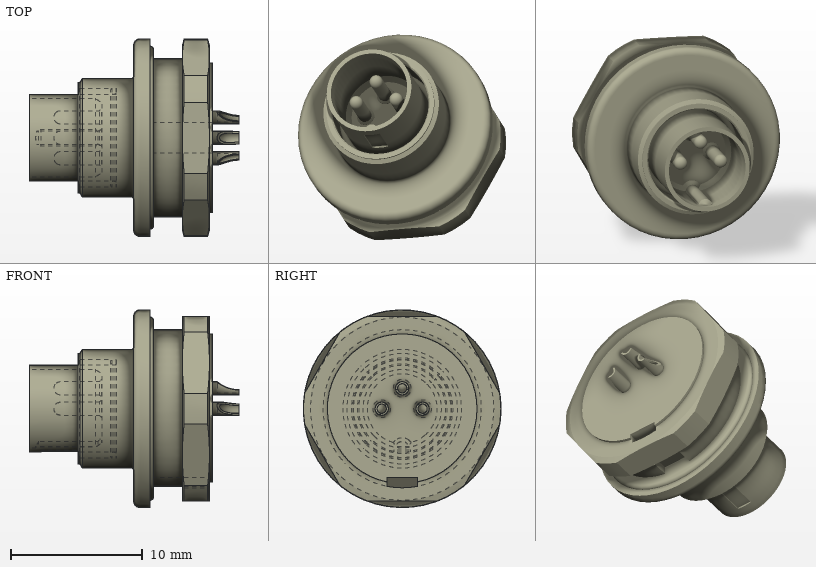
import cadquery as cq
import math


body_front = 3.7
flange_front = 7.9
flange_back = 9.15
seal_back = 9.42
nut_front = 11.6
nut_back = 13.65
hub_back = 13.88
overall_length = 15.9

sleeve_diameter = 6.6
body_diameter = 9.0
flange_diameter = 15.0
seal_diameter = 13.9
thread_diameter = 12.0
hub_diameter = 11.35

body_nose_diameter = 8.39
body_nose_length = 0.13
body_chamfer_angle = 30.0
body_root_fillet = 0.18
flange_fillet = 0.5
seal_round = 0.27

gap_diameter = 7.5
gap_chamfer = 0.1
gap_bottom = 6.6
ring_section_radius = 0.25
ring_center_x = 6.4

bore_diameter = 5.95
bore_floor_diameter = 5.3
taper_start = 5.0
floor_x = 5.5

contact_pitch_radius = 1.55
contact_diameter = 1.0
contact_tip_x = 1.85
collar_diameter = 1.35
collar_length = 0.2
collar_chamfer = 0.17

cup_bore_diameter = 0.7
cup_bore_depth = 1.65
cup_scoop_radius = 2.6
cup_lip_height = -0.11
side_cup_tilt = 60.0

key_root_z = -(bore_diameter + sleeve_diameter) / 4
key_base_front = 0.46
key_base_half_width = 0.62
key_base_z = -2.88
key_base_corner_radius = 0.4
key_ridge_radius = 0.53
key_ridge_axis_z = -3.03
key_ridge_tip_radius = 0.15
key_ridge_shoulder_x = 0.7
key_collar_length = 0.3
key_collar_half_width = 0.73
key_collar_crest_z = -2.2
key_collar_shoulder_z = -2.68
key_collar_chamfer = 0.28

key_flat_start = 0.87
key_flat_z = -3.15

keyway_width = 2.3
keyway_floor_z = -5.2

nut_across_flats = 14.0
nut_corner_diameter = 15.0
nut_chamfer_angle = 15.0
nut_turn = 30.0


def cylinder(diameter, start, end):
    return cq.Workplane("YZ", origin=(start, 0, 0)).circle(diameter / 2).extrude(end - start)


def revolve_about_axis(profile):
    return profile.close().revolve(360, (0, 0, 0), (1, 0, 0))


def make_shell():
    sleeve_radius = sleeve_diameter / 2
    body_radius = body_diameter / 2
    flange_radius = flange_diameter / 2
    seal_radius = seal_diameter / 2
    thread_radius = thread_diameter / 2
    body_nose_radius = body_nose_diameter / 2
    body_nose_end = body_front + body_nose_length
    chamfer_length = (body_radius - body_nose_radius) * math.tan(math.radians(body_chamfer_angle))
    profile = (
        cq.Workplane("XY")
        .lineTo(0, sleeve_radius)
        .lineTo(body_front, sleeve_radius)
        .lineTo(body_front, body_nose_radius)
        .lineTo(body_nose_end, body_nose_radius)
        .lineTo(body_nose_end + chamfer_length, body_radius)
        .lineTo(flange_front - body_root_fillet, body_radius)
        .radiusArc((flange_front, body_radius + body_root_fillet), -body_root_fillet)
        .lineTo(flange_front, flange_radius - flange_fillet)
        .radiusArc((flange_front + flange_fillet, flange_radius), flange_fillet)
        .lineTo(flange_back, flange_radius)
        .lineTo(flange_back, seal_radius)
        .radiusArc((seal_back, seal_radius - seal_round), seal_round)
        .lineTo(seal_back, thread_radius)
        .lineTo(nut_back, thread_radius)
        .lineTo(nut_back, hub_diameter / 2)
        .lineTo(hub_back, hub_diameter / 2)
        .lineTo(hub_back, 0)
    )
    return revolve_about_axis(profile)


def make_gap():
    sleeve_radius = sleeve_diameter / 2
    gap_radius = gap_diameter / 2
    profile = (
        cq.Workplane("XY")
        .moveTo(body_front, sleeve_radius)
        .lineTo(body_front, gap_radius + gap_chamfer)
        .lineTo(body_front + gap_chamfer, gap_radius)
        .lineTo(gap_bottom, gap_radius)
        .lineTo(gap_bottom, sleeve_radius)
    )
    ring = (
        cq.Workplane("XY")
        .moveTo(ring_center_x, sleeve_radius + ring_section_radius)
        .circle(ring_section_radius)
        .revolve(360, (0, 0, 0), (1, 0, 0))
    )
    return revolve_about_axis(profile).cut(ring)


def make_bore():
    profile = (
        cq.Workplane("XY")
        .lineTo(0, bore_diameter / 2)
        .lineTo(taper_start, bore_diameter / 2)
        .lineTo(floor_x, bore_floor_diameter / 2)
        .lineTo(floor_x, 0)
    )
    return revolve_about_axis(profile)


def make_nut():
    hexagon = (
        cq.Workplane("YZ", origin=(nut_front, 0, 0))
        .polygon(6, nut_across_flats, circumscribed=True)
        .extrude(nut_back - nut_front)
        .rotate((0, 0, 0), (1, 0, 0), nut_turn)
    )
    face_radius = nut_across_flats / 2
    corner_radius = nut_corner_diameter / 2
    chamfer_length = (corner_radius - face_radius) * math.tan(math.radians(nut_chamfer_angle))
    envelope = (
        cq.Workplane("XY")
        .moveTo(nut_front, 0)
        .lineTo(nut_front, face_radius)
        .lineTo(nut_front + chamfer_length, corner_radius)
        .lineTo(nut_back - chamfer_length, corner_radius)
        .lineTo(nut_back, face_radius)
        .lineTo(nut_back, 0)
    )
    bore = cylinder(thread_diameter, nut_front, nut_back)
    return hexagon.intersect(revolve_about_axis(envelope)).cut(bore)


def make_key():
    """Key with a flat base, a round ridge with a conical tip, and a wider collar at the insert face."""
    base = (
        cq.Workplane("XY", origin=(key_base_front, 0, key_root_z))
        .box(
            floor_x - key_base_front,
            2 * key_base_half_width,
            key_base_z - key_root_z,
            centered=(False, True, False),
        )
        .edges("|Z and <X")
        .fillet(key_base_corner_radius)
    )
    ridge = (
        cq.Workplane("XY")
        .moveTo(key_base_front, -key_ridge_tip_radius)
        .lineTo(key_ridge_shoulder_x, -key_ridge_radius)
        .lineTo(floor_x, -key_ridge_radius)
        .lineTo(floor_x, 0)
        .lineTo(key_base_front, 0)
        .close()
        .revolve(180, (0, 0, 0), (-1, 0, 0))
        .translate((0, 0, key_ridge_axis_z))
    )
    collar = (
        cq.Workplane("YZ", origin=(floor_x - key_collar_length, 0, 0))
        .moveTo(-key_base_half_width, key_root_z)
        .lineTo(-key_collar_half_width, key_collar_shoulder_z)
        .threePointArc((0, key_collar_crest_z), (key_collar_half_width, key_collar_shoulder_z))
        .lineTo(key_base_half_width, key_root_z)
        .close()
        .extrude(key_collar_length)
        .faces("<X")
        .edges(">Z")
        .chamfer(key_collar_chamfer)
    )
    return base.union(ridge).union(collar)


def make_key_flat():
    sleeve_radius = sleeve_diameter / 2
    return cq.Workplane("XY", origin=(key_flat_start, 0, -sleeve_radius)).box(
        body_front - key_flat_start,
        2 * key_base_half_width,
        key_flat_z + sleeve_radius,
        centered=(False, True, False),
    )


def make_keyway():
    thread_radius = thread_diameter / 2
    return cq.Workplane("XY", origin=(seal_back, 0, -thread_radius)).box(
        hub_back - seal_back,
        keyway_width,
        keyway_floor_z + thread_radius,
        centered=(False, True, False),
    )


def make_contact():
    """Contact on the X axis: rounded pin, collar on the insert face and a solder cup open to +Z."""
    radius = contact_diameter / 2
    dome = cq.Workplane("XY", origin=(contact_tip_x + radius, 0, 0)).sphere(radius)
    pin = cylinder(contact_diameter, contact_tip_x + radius, overall_length).union(dome)
    collar = (
        cylinder(collar_diameter, floor_x - collar_length, floor_x)
        .faces("<X")
        .chamfer(collar_chamfer)
    )
    cup_bore = cylinder(cup_bore_diameter, overall_length - cup_bore_depth, overall_length)
    scoop = (
        cq.Workplane("XZ", origin=(overall_length, 0, cup_lip_height + cup_scoop_radius))
        .circle(cup_scoop_radius)
        .extrude(contact_diameter, both=True)
    )
    return pin.union(collar).cut(cup_bore).cut(scoop)


def make_contacts():
    contact = make_contact()
    top = contact.translate((0, 0, contact_pitch_radius))
    contacts = [top]
    for side in (-1, 1):
        tilted = contact.rotate((0, 0, 0), (1, 0, 0), -side * side_cup_tilt)
        contacts.append(tilted.translate((0, side * contact_pitch_radius, 0)))
    return contacts


shell = make_shell()
for recess in (make_gap(), make_bore(), make_key_flat(), make_keyway()):
    shell = shell.cut(recess)

connector = shell.union(make_nut()).union(make_key())
for contact in make_contacts():
    connector = connector.union(contact)

result = connector.solids()